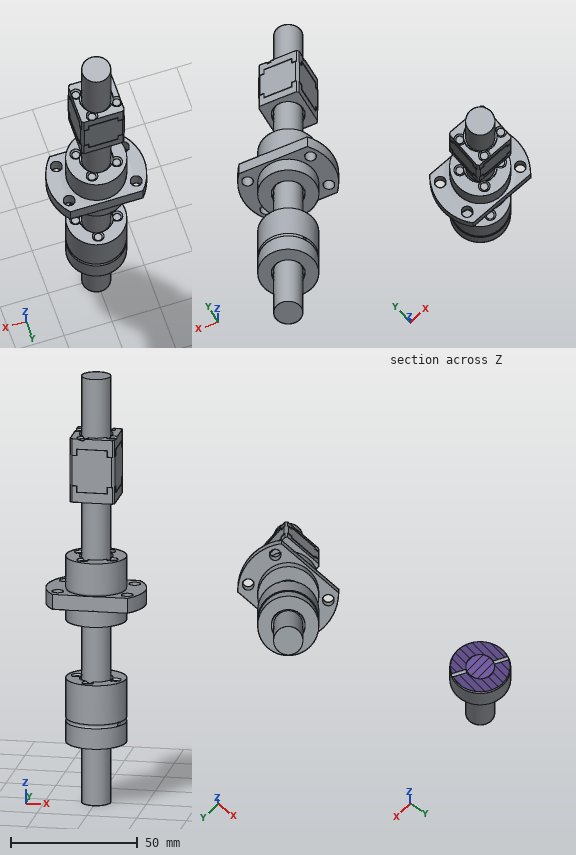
import cadquery as cq
import math

shaft_length = 175.0
shaft_radius = 5.8

nut_length = 26.0
nut_pitch = 50.0
cap_length = 6.8
nut_radius = 12.0
lowest_nut_z = 25.0 - shaft_length / 2
nut_middle = nut_length / 2

recess_radius = 6.6
recess_depth = 1.8

socket_count = 4
socket_circle_radius = 8.2
socket_mouth_radius = 2.3
socket_floor_radius = 1.5
socket_depth = 0.7
socket_angle = 60.0
groove_nut_socket_angle = 77.0

groove_width = 1.5
groove_depth = 0.26
groove_bottom_z = cap_length + 1.5
oil_hole_diameter = 1.4
oil_hole_angle = 150.0

flange_diameter = 39.9
flange_width = 26.0
flange_thickness = 6.1
flange_bottom_z = cap_length
flange_top_z = flange_bottom_z + flange_thickness
bolt_circle_radius = 16.1
bolt_angle = 30.0
bolt_hole_diameter = 4.5
undercut_outer_radius = 14.2
undercut_height = 0.5
undercut_depth = 0.2

core_width = 17.8
band_width = 18.2
band_length = nut_length - 2 * cap_length
tab_width = 12.2
tab_height = 2.6
tab_length = band_length + 2 * tab_height


def make_shaft():
    return cq.Workplane("XY").circle(shaft_radius).extrude(shaft_length).translate((0, 0, -shaft_length / 2))


def make_recess():
    """Clearance recess around the shaft, at the bottom end of a nut."""
    return cq.Workplane("XY").circle(recess_radius).extrude(recess_depth)


def make_sockets(first_angle):
    """Ring of conical sockets in the top face of a nut."""
    return (
        cq.Workplane("XY", origin=(0, 0, nut_length))
        .polarArray(socket_circle_radius, first_angle, 360, socket_count)
        .eachpoint(
            lambda place: cq.Solid.makeCone(
                socket_mouth_radius, socket_floor_radius, socket_depth, dir=cq.Vector(0, 0, -1)
            ).moved(place)
        )
    )


def finish_nut(blank, first_socket_angle, position):
    """Bore and recess the blank for the shaft, add the sockets and move it to its place on the shaft."""
    bore = cq.Workplane("XY").circle(shaft_radius).extrude(nut_length)
    bottom_recess = make_recess()
    top_recess = bottom_recess.translate((0, 0, nut_length - recess_depth))
    nut = blank.cut(bore).cut(bottom_recess).cut(top_recess).cut(make_sockets(first_socket_angle))
    return nut.translate((0, 0, lowest_nut_z + position * nut_pitch))


def round_blank():
    return cq.Workplane("XY").circle(nut_radius).extrude(nut_length)


def make_groove_nut():
    groove_middle_z = groove_bottom_z + groove_width / 2
    arc_radius = groove_width**2 / (8 * groove_depth) + groove_depth / 2
    arc_centre_radius = nut_radius - groove_depth + arc_radius
    groove = cq.Solid.makeTorus(arc_centre_radius, arc_radius, cq.Vector(0, 0, groove_middle_z))
    oil_holes = (
        cq.Workplane("YZ", origin=(0, 0, groove_middle_z))
        .circle(oil_hole_diameter / 2)
        .extrude(nut_radius, both=True)
        .rotate((0, 0, 0), (0, 0, 1), oil_hole_angle)
    )
    blank = round_blank().cut(cq.Workplane(groove)).cut(oil_holes)
    return finish_nut(blank, groove_nut_socket_angle, 0)


def make_flange():
    bolt_x = bolt_circle_radius * math.cos(math.radians(bolt_angle))
    bolt_y = bolt_circle_radius * math.sin(math.radians(bolt_angle))
    disc = cq.Workplane("XY", origin=(0, 0, flange_bottom_z)).circle(flange_diameter / 2).extrude(flange_thickness)
    flats = cq.Workplane("XY").box(flange_diameter, flange_width, 2 * nut_length)
    bolt_holes = (
        cq.Workplane("XY", origin=(0, 0, flange_bottom_z))
        .rect(2 * bolt_x, 2 * bolt_y, forConstruction=True)
        .vertices()
        .circle(bolt_hole_diameter / 2)
        .extrude(flange_thickness)
    )
    return disc.intersect(flats).cut(bolt_holes)


def make_flange_nut():
    undercut = (
        cq.Workplane("XZ")
        .moveTo(nut_radius, flange_top_z + undercut_height)
        .lineTo(nut_radius - undercut_depth, flange_top_z - undercut_depth)
        .lineTo(undercut_outer_radius, flange_top_z)
        .close()
        .revolve(360, (0, 0, 0), (0, 1, 0))
    )
    blank = round_blank().union(make_flange()).cut(undercut)
    return finish_nut(blank, socket_angle, 1)


def centred_bar(width_x, width_y, height):
    """Upright bar centred on the middle of the nut."""
    return cq.Workplane("XY").box(width_x, width_y, height).translate((0, 0, nut_middle))


def make_square_nut():
    blank = (
        centred_bar(core_width, core_width, nut_length)
        .union(centred_bar(band_width, band_width, band_length))
        .union(centred_bar(band_width, tab_width, tab_length))
        .union(centred_bar(tab_width, band_width, tab_length))
    )
    blank = blank.intersect(round_blank())
    return finish_nut(blank, socket_angle, 2)


shaft = make_shaft()
groove_nut = make_groove_nut()
flange_nut = make_flange_nut()
square_nut = make_square_nut()

result = cq.Compound.makeCompound([shaft.val(), groove_nut.val(), flange_nut.val(), square_nut.val()])